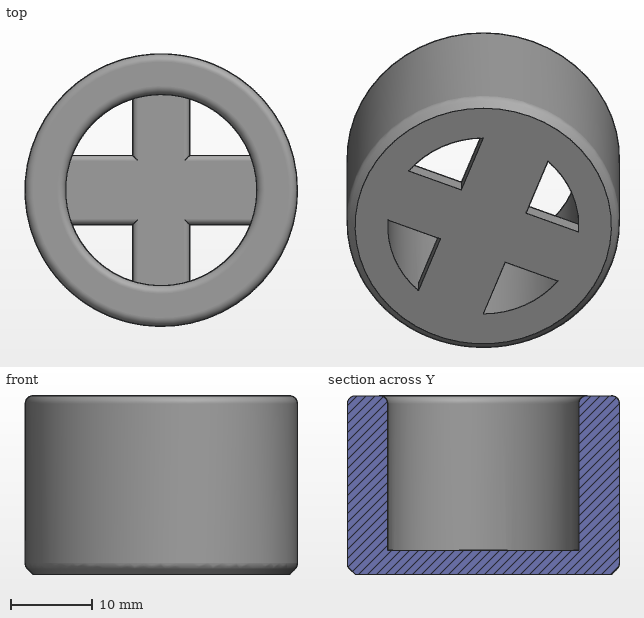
import cadquery as cq

outer_diameter = 33.5
bore_diameter = 23.5
height = 22.0
edge_size = 1.0

bar_along_x_width = 8.55
bar_along_y_width = 7.05
cross_thickness = 3.0
cross_fillet = 0.7

outer_radius = outer_diameter / 2
bore_radius = bore_diameter / 2
bar_length = bore_radius + outer_radius


def make_ring():
    """Tube with a rounded top rim and a blended chamfer around its foot."""
    body = cq.Workplane("XY").circle(outer_radius).extrude(height)
    body = body.faces("<Z").chamfer(edge_size)
    chamfer_top = cq.selectors.BoxSelector(
        (-outer_diameter, -outer_diameter, edge_size / 2),
        (outer_diameter, outer_diameter, edge_size * 3 / 2),
    )
    chamfer_top_edges = body.edges("%CIRCLE").edges(chamfer_top)
    body = chamfer_top_edges.fillet(edge_size)
    bore = cq.Workplane("XY").circle(bore_radius).extrude(height)
    return body.cut(bore).faces(">Z").edges().fillet(edge_size)


def make_cross():
    """Two crossing bars with rounded upper edges, mitred at the inner corners."""
    bar_x = cq.Workplane("XY").rect(bar_length, bar_along_x_width).extrude(cross_thickness)
    bar_y = cq.Workplane("XY").rect(bar_along_y_width, bar_length).extrude(cross_thickness)
    bar_x = bar_x.edges("|X and >Z").fillet(cross_fillet)
    bar_y = bar_y.edges("|Y and >Z").fillet(cross_fillet)
    return bar_x.union(bar_y)


result = make_ring().union(make_cross())